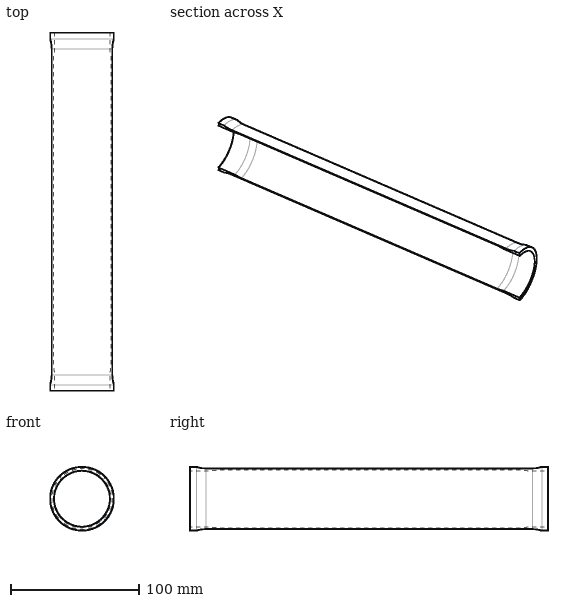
import cadquery as cq
import math

length = 280.0
tube_diameter = 47.6
collar_diameter = 50.0
tube_bore = 45.0
mouth_bore = 43.5

collar_length = 5.0
mouth_length = 15.0

blend_radius = 25.0

half_length = length / 2


def turned_bar(end_diameter, end_length, middle_diameter):
    """Round bar along Y whose straight ends blend into a middle of another diameter.

    Each blend is an arc tangent to the middle that meets the straight end at an angle.
    """
    end_radius = end_diameter / 2
    middle_radius = middle_diameter / 2
    rise = end_radius - middle_radius
    sweep = math.acos(1 - abs(rise) / blend_radius)
    end_y = half_length - end_length
    middle_y = end_y - blend_radius * math.sin(sweep)

    half_sweep_rise = blend_radius * (1 - math.cos(sweep / 2))
    blend_x = middle_radius + math.copysign(half_sweep_rise, rise)
    blend_y = middle_y + blend_radius * math.sin(sweep / 2)

    profile = (
        cq.Workplane("XY")
        .moveTo(0, -half_length)
        .lineTo(end_radius, -half_length)
        .lineTo(end_radius, -end_y)
        .threePointArc((blend_x, -blend_y), (middle_radius, -middle_y))
        .lineTo(middle_radius, middle_y)
        .threePointArc((blend_x, blend_y), (end_radius, end_y))
        .lineTo(end_radius, half_length)
        .lineTo(0, half_length)
        .close()
    )
    return profile.revolve(360, (0, 0, 0), (0, 1, 0))


outer_body = turned_bar(collar_diameter, collar_length, tube_diameter)
bore = turned_bar(mouth_bore, mouth_length, tube_bore)
result = outer_body.cut(bore)